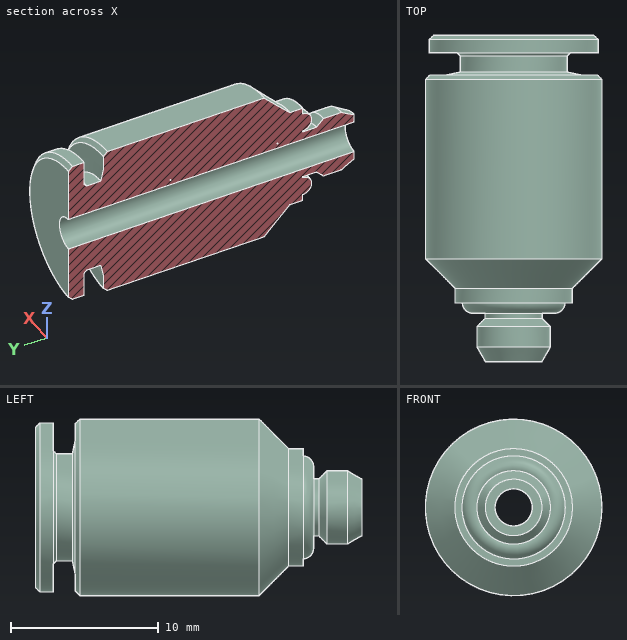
import cadquery as cq
import math

body_diameter = 12.0
collar_diameter = 11.5
release_neck_diameter = 7.3
body_end_cone_diameter = 9.2
spigot_diameter = 8.0
thread_diameter = 5.0
thread_neck_diameter = 3.9
bore_diameter = 2.5

total_length = 22.2
thread_start = 1.0
thread_end = 2.4
spigot_start = 4.0
spigot_end = 5.0
body_start = 7.0
body_end = 19.5
body_cone_end = 19.7
collar_start = 20.98

edge_chamfer = 0.3
tip_taper_angle = 30.0
collar_root_height = 0.2
collar_root_width = 0.2

ring_outer_diameter = 7.02
ring_section_radius = 0.75
ring_protrusion = 0.7

body_radius = body_diameter / 2
collar_radius = collar_diameter / 2
release_neck_radius = release_neck_diameter / 2
spigot_radius = spigot_diameter / 2
thread_radius = thread_diameter / 2
thread_neck_radius = thread_neck_diameter / 2
bore_radius = bore_diameter / 2
tip_radius = thread_radius - thread_start * math.tan(math.radians(tip_taper_angle))
thread_neck_start = thread_end + thread_radius - thread_neck_radius


def make_fitting():
    """Revolve the stepped half section, with its through bore, about Y."""
    half_section = [
        (bore_radius, 0),
        (tip_radius, 0),
        (thread_radius, thread_start),
        (thread_radius, thread_end),
        (thread_neck_radius, thread_neck_start),
        (thread_neck_radius, spigot_start),
        (spigot_radius, spigot_start),
        (spigot_radius, spigot_end),
        (body_radius, body_start),
        (body_radius, body_end - edge_chamfer),
        (body_radius - edge_chamfer, body_end),
        (body_end_cone_diameter / 2, body_end),
        (release_neck_radius, body_cone_end),
        (release_neck_radius, collar_start - collar_root_height),
        (release_neck_radius + collar_root_width, collar_start),
        (collar_radius, collar_start),
        (collar_radius, total_length - edge_chamfer),
        (collar_radius - edge_chamfer, total_length),
        (bore_radius, total_length),
    ]
    section = cq.Workplane("XY").polyline(half_section).close()
    return section.revolve(360, (0, 0), (0, 1))


def make_sealing_ring():
    """Round-section ring partly sunk into the spigot face."""
    ring_centre_radius = ring_outer_diameter / 2 - ring_section_radius
    ring_centre = spigot_start - ring_protrusion + ring_section_radius
    section = cq.Workplane("XY").center(ring_centre_radius, ring_centre).circle(ring_section_radius)
    return section.revolve(360, (-ring_centre_radius, 0), (-ring_centre_radius, 1))


result = make_fitting().union(make_sealing_ring())